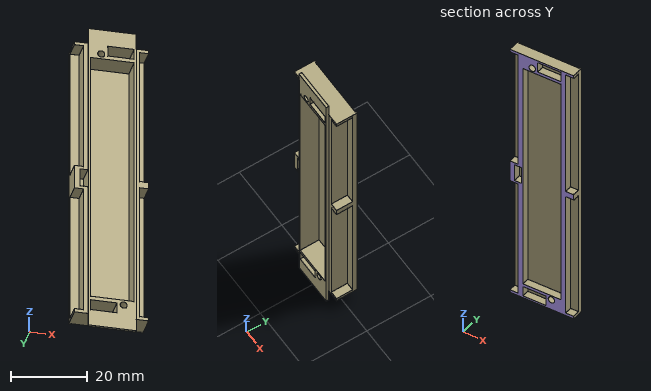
import cadquery as cq

plate_width = 12.75
plate_thickness = 0.87
plate_height = 89.72

overall_width = 19.95
overall_depth = 7.37
body_height = 81.8
core_width = 15.0
rear_wall_thickness = 1.47
end_rib_thickness = 1.0
left_rib_height = 6.8
right_rib_height = 1.9

rib_slot_height = 5.1
rib_slot_outer_wall = 1.5

lip_width = 0.65
lip_depth = 0.25

pocket_width = 11.65
pocket_height = 72.2
pocket_depth = overall_depth - rear_wall_thickness
window_width = 7.05
window_height = 2.97
window_center_z = 38.65
hole_diameter = 1.85
hole_x = 3.0
hole_z = 37.55


def box(x_range, y_range, z_range):
    """Axis-aligned box spanning the three (low, high) ranges."""
    lows, highs = zip(x_range, y_range, z_range)
    sizes = [high - low for low, high in zip(lows, highs)]
    return cq.Workplane("XY").box(*sizes, centered=False).translate(lows)


def span(size, center=0):
    """Range of a given size about a center."""
    return (center - size / 2, center + size / 2)


def side_channels(side, rib_height):
    """Upper and lower channel on one side (-1 or +1), separated by a rib."""
    x_range = sorted((side * core_width / 2, side * overall_width / 2))
    y_range = (plate_thickness, pocket_depth)
    z_low = rib_height / 2
    z_high = body_height / 2 - end_rib_thickness
    upper = box(x_range, y_range, (z_low, z_high))
    lower = box(x_range, y_range, (-z_high, -z_low))
    return upper.union(lower)


def rib_slot():
    """Blind slot in the thick rib, running in to the edge of the plate."""
    x_range = (-overall_width / 2 + rib_slot_outer_wall, -plate_width / 2)
    return box(x_range, (plate_thickness, pocket_depth), span(rib_slot_height))


def rear_recess():
    """Full-height recess that leaves a lip along each rear edge."""
    y_range = (overall_depth - lip_depth, overall_depth)
    return box(span(overall_width - 2 * lip_width), y_range, span(body_height))


def end_openings(end):
    """Window and round hole at one end (+1 top, -1 bottom), alike under a half turn."""
    window_center_x = end * (pocket_width - window_width) / 2
    window_z = span(window_height, end * window_center_z)
    window = box(span(window_width, window_center_x), (0, pocket_depth), window_z)
    hole = (
        cq.Workplane("XZ")
        .center(-end * hole_x, end * hole_z)
        .circle(hole_diameter / 2)
        .extrude(-pocket_depth)
    )
    return window.union(hole)


plate = box(span(plate_width), (0, plate_thickness), span(plate_height))
body = box(span(overall_width), (plate_thickness, overall_depth), span(body_height))
main_pocket = box(span(pocket_width), (0, pocket_depth), span(pocket_height))

result = plate.union(body)
result = result.cut(side_channels(-1, left_rib_height))
result = result.cut(side_channels(1, right_rib_height))
result = result.cut(rib_slot())
result = result.cut(rear_recess())
result = result.cut(main_pocket)
for end in (1, -1):
    result = result.cut(end_openings(end))